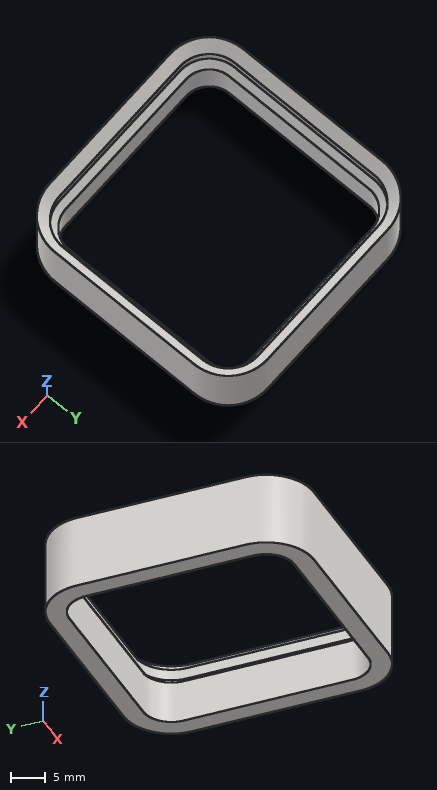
import cadquery as cq

outer_side = 41.5
outer_corner_radius = 7.5
total_height = 11.7

slope_angle = 45.0
upper_slope = 1.9
band_height = 1.8
lower_slope = 1.2

band_top = total_height - upper_slope
band_bottom = band_top - band_height
wall_top = band_bottom - lower_slope

band_inset = upper_slope
wall_inset = upper_slope + lower_slope


def rounded_square(inset, z):
    """Outer outline moved inwards by inset, drawn at height z."""
    side = outer_side - 2 * inset
    radius = outer_corner_radius - inset
    return cq.Workplane("XY", origin=(0, 0, z)).sketch().rect(side, side).vertices().fillet(radius).finalize()


def straight_prism(inset, z_bottom, z_top):
    return rounded_square(inset, z_bottom).extrude(z_top - z_bottom)


def flared_prism(bottom_inset, z_bottom, z_top):
    """Prism that widens upwards along the slope angle."""
    return rounded_square(bottom_inset, z_bottom).extrude(z_top - z_bottom, taper=-slope_angle)


def stacking_opening():
    opening = straight_prism(wall_inset, 0, wall_top)
    opening = opening.union(flared_prism(wall_inset, wall_top, band_bottom))
    opening = opening.union(straight_prism(band_inset, band_bottom, band_top))
    return opening.union(flared_prism(band_inset, band_top, total_height))


result = straight_prism(0, 0, total_height).cut(stacking_opening())